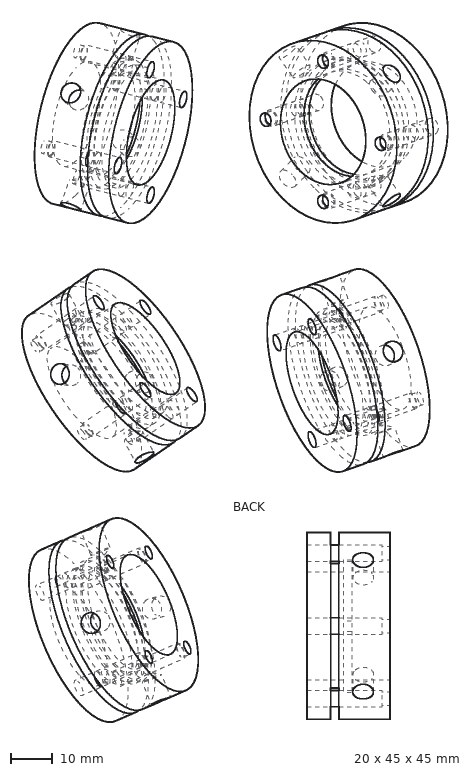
import cadquery as cq
import math

outer_diameter = 45.0
bore_diameter = 26.0
front_thickness = 12.3
gap_width = 2.0
back_thickness = 5.7
total_length = front_thickness + gap_width + back_thickness

neck_diameter = 30.0

groove_start = 9.22
groove_width = 2.0
groove_diameter = 32.0

pin_count = 4
pin_diameter = 4.0
pin_circle_radius = 17.5
knockout_diameter = 3.3
knockout_depth = 2.0

radial_hole_diameter = 5.0
radial_hole_position = 6.5
radial_hole_depth = 6.0
drill_tip_angle = 118.0


def disc(start, length, diameter, y=0.0, z=0.0):
    """Solid cylinder along X, starting at X = start."""
    return cq.Workplane("YZ", origin=(start, y, z)).circle(diameter / 2).extrude(length)


def pin_centers():
    """Y and Z of each pin axis, evenly spaced around the ring."""
    angles = [2 * math.pi * i / pin_count for i in range(pin_count)]
    return [(pin_circle_radius * math.cos(a), pin_circle_radius * math.sin(a)) for a in angles]


def radial_hole(angle):
    """Cutter for one drilled hole with a conical tip; the angle is about X, measured from +Z."""
    radius = radial_hole_diameter / 2
    rim = outer_diameter / 2
    shoulder = rim - radial_hole_depth
    tip = shoulder - radius / math.tan(math.radians(drill_tip_angle / 2))
    cutter = (
        cq.Workplane("XZ", origin=(radial_hole_position, 0, 0))
        .moveTo(0, tip)
        .lineTo(radius, shoulder)
        .lineTo(radius, rim)
        .lineTo(0, rim)
        .close()
        .revolve(360, (0, 0), (0, 1))
    )
    return cutter.rotate((0, 0, 0), (1, 0, 0), angle)


def make_pin(y, z):
    """Pin from the end of its knock-out hole to the back face; it fills its seat in the housing."""
    return disc(knockout_depth, total_length - knockout_depth, pin_diameter, y, z)


def make_housing():
    """Two flanges on a common neck, with the bore, its groove and all the holes cut out."""
    body = disc(0, front_thickness, outer_diameter)
    body = body.union(disc(front_thickness, gap_width, neck_diameter))
    body = body.union(disc(front_thickness + gap_width, back_thickness, outer_diameter))
    body = body.cut(disc(0, total_length, bore_diameter))
    body = body.cut(disc(groove_start, groove_width, groove_diameter))
    for y, z in pin_centers():
        body = body.cut(disc(0, knockout_depth, knockout_diameter, y, z))
        body = body.cut(make_pin(y, z))
    for i in range(pin_count):
        body = body.cut(radial_hole((i + 0.5) * 360 / pin_count))
    return body


housing = make_housing()
pins = [make_pin(y, z) for y, z in pin_centers()]

result = cq.Compound.makeCompound([housing.val(), *[pin.val() for pin in pins]])